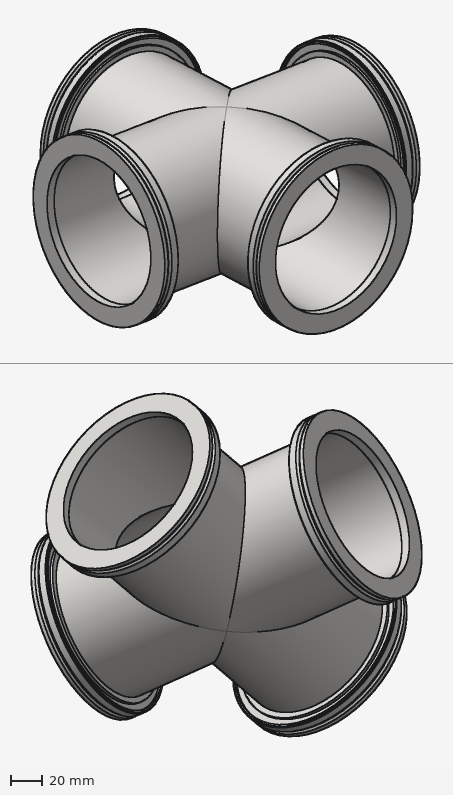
import cadquery as cq

span = 216.0
half_span = span / 2

tube_outer_radius = 54.0
tube_inner_radius = 51.2

flange_radius = 65.0
flange_thickness = 12.0
flange_bore_radius = tube_inner_radius
rear_chamfer = 0.7
socket_depth = 6.0

rim_groove_center = 4.5
rim_groove_depth = 1.5
rim_groove_half_width = 1.5
front_flank_radius = 3.0
rear_flank_radius = rim_groove_half_width

rear_groove_inner_radius = 58.0
rear_groove_width = 5.0
rear_groove_depth = 2.0

tube_half_length = half_span - flange_thickness + socket_depth
arm_angles = (0, 90, 180, 270)


def crossed_cylinders(radius, half_length):
    """Two equal cylinders along X and Y that cross at the origin."""
    along_x = cq.Workplane("YZ").circle(radius).extrude(half_length, both=True)
    along_y = cq.Workplane("XZ").circle(radius).extrude(half_length, both=True)
    return along_x.union(along_y)


def make_cross_tube():
    outside = crossed_cylinders(tube_outer_radius, tube_half_length)
    inside = crossed_cylinders(tube_inner_radius, tube_half_length)
    return outside.cut(inside)


def make_flange():
    """Flange on the +X arm: half its section, revolved about X."""
    face_x = half_span
    rear_x = face_x - flange_thickness
    socket_x = rear_x + socket_depth
    groove_x = face_x - rim_groove_center
    groove_floor_x = rear_x + rear_groove_depth
    rear_groove_outer_radius = rear_groove_inner_radius + rear_groove_width
    section = (
        cq.Workplane("XY")
        .moveTo(face_x, flange_bore_radius)
        .lineTo(face_x, flange_radius)
        .lineTo(groove_x + rim_groove_half_width, flange_radius)
        .radiusArc((groove_x, flange_radius - rim_groove_depth), front_flank_radius)
        .radiusArc((groove_x - rim_groove_half_width, flange_radius), rear_flank_radius)
        .lineTo(rear_x + rear_chamfer, flange_radius)
        .lineTo(rear_x, flange_radius - rear_chamfer)
        .lineTo(rear_x, rear_groove_outer_radius)
        .lineTo(groove_floor_x, rear_groove_outer_radius)
        .lineTo(groove_floor_x, rear_groove_inner_radius)
        .lineTo(rear_x, rear_groove_inner_radius)
        .lineTo(rear_x, tube_outer_radius)
        .lineTo(socket_x, tube_outer_radius)
        .lineTo(socket_x, flange_bore_radius)
        .close()
    )
    return section.revolve(360, (0, 0, 0), (1, 0, 0))


cross_tube = make_cross_tube()
flanges = [make_flange().rotate((0, 0, 0), (0, 0, 1), angle) for angle in arm_angles]

result = cq.Compound.makeCompound([cross_tube.val(), *[flange.val() for flange in flanges]])